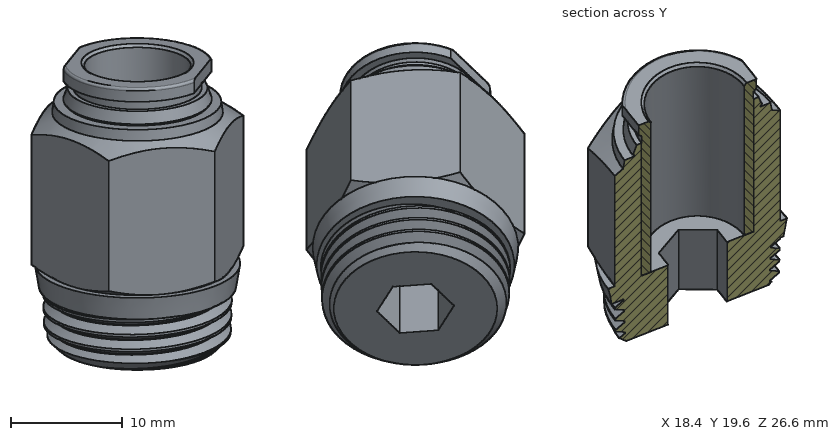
import cadquery as cq
import math

total_height = 26.59
collar_bottom = 5.38
collar_top = 7.53
hex_top = total_height - 4.69
step_top = total_height - 3.68
undercut_top = total_height - 3.455
nose_top = total_height - 2.37
flange_bottom = total_height - 1.30

hex_across_flats = 17.0
hex_corner_diameter = hex_across_flats / math.cos(math.radians(30))
hex_chamfer_slope = math.tan(math.radians(30))
collar_top_diameter = 18.39
collar_bottom_diameter = 17.68
step_bottom_diameter = 15.3
step_top_diameter = 15.0
undercut_diameter = 12.9
nose_bottom_diameter = 13.3
nose_top_diameter = 12.52
key_across_flats = 6.0

thread_pitch = 25.4 / 18
thread_taper = 1 / 32
thread_end_radius = 8.33
flank_slope = math.tan(math.radians(30))
root_flat = 0.1
crest_flat = 0.25
thread_depth = (thread_pitch - root_flat - crest_flat) / (2 * flank_slope)
groove_overrun = 0.9
lowest_root_height = 0.43
end_chamfer_radius = 7.31

sleeve_diameter = 11.5
sleeve_bore = 9.53
sleeve_mouth_diameter = 10.06
flange_diameter = 13.5
flange_across_flats = 12.12
flange_edge_radius = 0.25
flange_root_size = 0.25
seat_height = collar_top


def crest_radius(height):
    return thread_end_radius + thread_taper * height


def revolve_profile(points):
    """Revolve a closed outline of (radius, height) points about Z."""
    return cq.Workplane("XZ").polyline(points).close().revolve(360, (0, 0), (0, 1))


def make_hex(across_flats, bottom, top):
    """Hexagonal prism with corners on the Y axis."""
    corner_diameter = across_flats / math.cos(math.radians(30))
    prism = cq.Workplane("XY").polygon(6, corner_diameter).extrude(top - bottom)
    return prism.rotate((0, 0, 0), (0, 0, 1), 30).translate((0, 0, bottom))


def make_hex_body():
    """Wrench hexagon with 30 degree conical chamfers at both ends."""
    corner_radius = hex_corner_diameter / 2
    upper_radius = step_bottom_diameter / 2
    lower_radius = hex_across_flats / 2
    upper_drop = (corner_radius - upper_radius) * hex_chamfer_slope
    lower_rise = (corner_radius - lower_radius) * hex_chamfer_slope
    envelope = revolve_profile([
        (0, collar_top),
        (lower_radius, collar_top),
        (corner_radius, collar_top + lower_rise),
        (corner_radius, hex_top - upper_drop),
        (upper_radius, hex_top),
        (0, hex_top),
    ])
    return make_hex(hex_across_flats, collar_top, hex_top).intersect(envelope)


def make_thread_groove():
    """Helical V groove with a flat root, running past both ends of the shank."""
    start = lowest_root_height - thread_pitch
    length = collar_bottom + groove_overrun - start
    start_radius = crest_radius(start)
    overshoot = 0.1
    taper_angle = math.degrees(math.atan(thread_taper))
    helix = cq.Wire.makeHelix(thread_pitch, length, start_radius, angle=taper_angle)
    root_half = root_flat / 2
    mouth_half = root_half + (thread_depth + overshoot) * flank_slope
    groove = (
        cq.Workplane("XZ")
        .polyline([
            (start_radius - thread_depth, -root_half),
            (start_radius + overshoot, -mouth_half),
            (start_radius + overshoot, mouth_half),
            (start_radius - thread_depth, root_half),
        ])
        .close()
        .sweep(cq.Workplane(obj=helix), isFrenet=True)
    )
    return groove.translate((0, 0, start))


def make_threaded_shank():
    chamfer_height = (thread_end_radius - end_chamfer_radius) / (1 - thread_taper)
    shank = revolve_profile([
        (0, 0),
        (end_chamfer_radius, 0),
        (crest_radius(chamfer_height), chamfer_height),
        (crest_radius(collar_bottom), collar_bottom),
        (0, collar_bottom),
    ])
    shank = shank.rotate((0, 0, 0), (0, 0, 1), 180)
    return shank.cut(make_thread_groove())


def make_collar():
    return revolve_profile([
        (0, collar_bottom),
        (collar_bottom_diameter / 2, collar_bottom),
        (collar_top_diameter / 2, collar_top),
        (0, collar_top),
    ])


def make_nose():
    """Round step and undercut conical lip above the hexagon."""
    return revolve_profile([
        (0, hex_top),
        (step_bottom_diameter / 2, hex_top),
        (step_top_diameter / 2, step_top),
        (undercut_diameter / 2, step_top),
        (nose_bottom_diameter / 2, undercut_top),
        (nose_top_diameter / 2, nose_top),
        (0, nose_top),
    ])


def make_housing():
    socket_depth = nose_top - seat_height
    socket = (
        cq.Workplane("XY")
        .workplane(offset=seat_height)
        .circle(sleeve_diameter / 2)
        .extrude(socket_depth)
    )
    key_hole = make_hex(key_across_flats, 0, seat_height)
    outside = make_threaded_shank().union(make_collar()).union(make_hex_body()).union(make_nose())
    return outside.cut(socket).cut(key_hole)


def make_sleeve():
    """Tube with a flange that has two flats facing +X and -X."""
    tube_radius = sleeve_diameter / 2
    bore_radius = sleeve_bore / 2
    mouth_radius = sleeve_mouth_diameter / 2
    flange_radius = flange_diameter / 2
    flange_height = total_height - flange_bottom
    flange = (
        cq.Workplane("XY")
        .workplane(offset=flange_bottom)
        .circle(flange_radius)
        .extrude(flange_height)
        .faces(">Z")
        .edges()
        .fillet(flange_edge_radius)
    )
    flats = cq.Workplane("XY").box(
        flange_across_flats, flange_diameter, flange_height, centered=(True, True, False)
    )
    flange = flange.intersect(flats.translate((0, 0, flange_bottom)))
    tube = revolve_profile([
        (0, seat_height),
        (tube_radius, seat_height),
        (tube_radius, flange_bottom - flange_root_size),
        (tube_radius + flange_root_size, flange_bottom),
        (0, flange_bottom),
    ])
    mouth_depth = mouth_radius - bore_radius
    bore = revolve_profile([
        (0, seat_height),
        (bore_radius, seat_height),
        (bore_radius, total_height - mouth_depth),
        (mouth_radius, total_height),
        (0, total_height),
    ])
    return tube.union(flange).cut(bore)


housing = make_housing()
sleeve = make_sleeve()

result = cq.Compound.makeCompound([housing.val(), sleeve.val()])